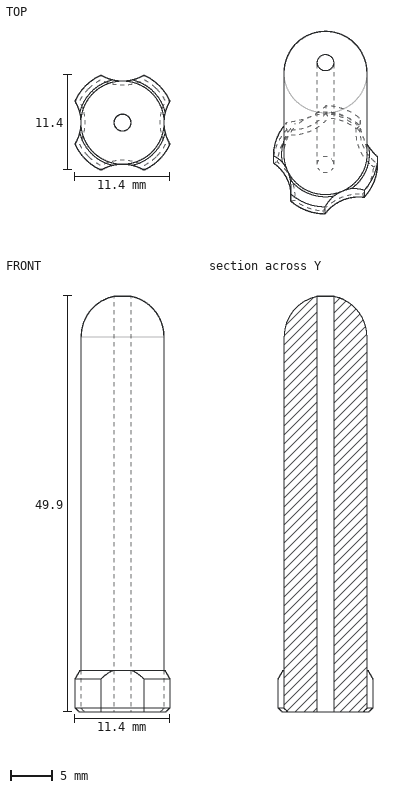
import cadquery as cq
import math

total_height = 49.9
rod_diameter = 10.0
rod_radius = rod_diameter / 2
bore_diameter = 2.0
bore_radius = bore_diameter / 2

bore_rim_rise = math.sqrt(rod_radius**2 - bore_radius**2)
shoulder_height = total_height - bore_rim_rise

grip_diameter = 12.5
grip_height = 5.0
grip_top_chamfer = 1.0
grip_foot_chamfer = 0.5

flute_count = 4
flute_radius = 5.0
flute_center_distance = rod_radius + flute_radius


def make_grip():
    """Disc with a conical top edge, cut by flutes, chamfered around its lobed foot."""
    disc = cq.Workplane("XY").circle(grip_diameter / 2).extrude(grip_height)
    disc = disc.faces(">Z").chamfer(grip_top_chamfer)
    flutes = (
        cq.Workplane("XY")
        .polarArray(flute_center_distance, 0, 360, flute_count)
        .circle(flute_radius)
        .extrude(grip_height)
    )
    return disc.cut(flutes).faces("<Z").chamfer(grip_foot_chamfer)


def make_rod():
    """Rod rising from the top of the grip and ending in a hemisphere."""
    shaft = (
        cq.Workplane("XY")
        .workplane(offset=grip_height)
        .circle(rod_radius)
        .extrude(shoulder_height - grip_height)
    )
    dome = cq.Workplane("XY").sphere(rod_radius).translate((0, 0, shoulder_height))
    return shaft.union(dome)


def make_bore():
    """Cylinder of the axial hole, long enough to clear the dome."""
    dome_top = shoulder_height + rod_radius
    return cq.Workplane("XY").circle(bore_radius).extrude(dome_top)


result = make_grip().union(make_rod()).cut(make_bore())